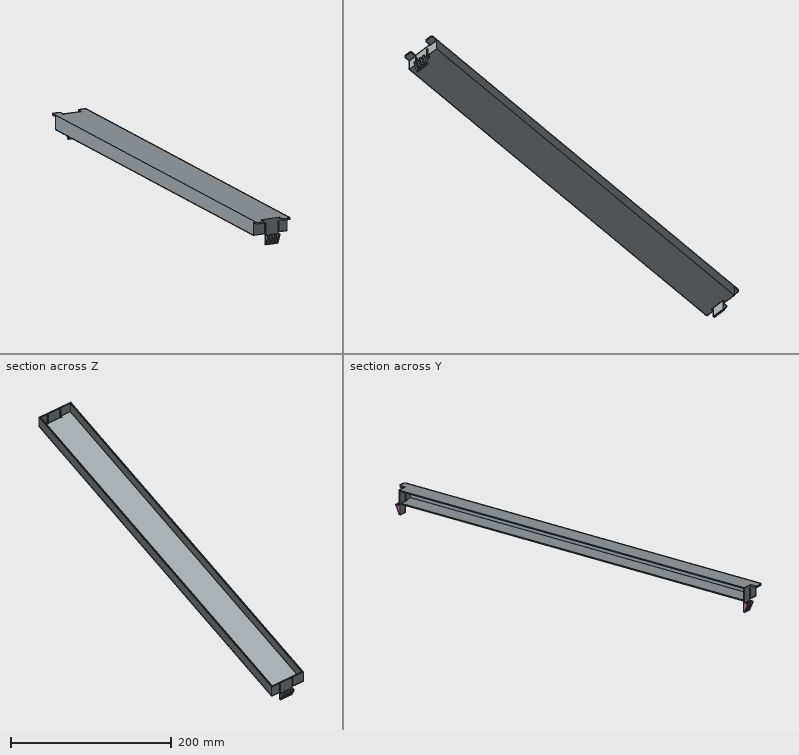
import cadquery as cq

length = 556.5
width = 47.5
height = 33.5
wall = 2.0

tongue_length = 9.0
tongue_corner = 2.0
notch_width = 25.0
body_height = 19.0
body_end = length / 2 - tongue_length

tab_width = 17.0
tab_center_y = 2.0
tab_low = tab_center_y - tab_width / 2
tab_high = tab_center_y + tab_width / 2
slit_width = 1.5
slit_top = -5.0

tooth_count = 4
tooth_width = 2.0
tooth_reach = 5.0
tooth_top = -20.5
tooth_bottom = -33.0
tooth_tip_height = 1.0
tooth_pitch = (tab_width - tooth_width) / (tooth_count - 1)


def make_block(x_range, y_range, z_range):
    """Box filling the given ranges."""
    size = [high - low for low, high in (x_range, y_range, z_range)]
    corner = (x_range[0], y_range[0], z_range[0])
    return cq.Workplane("XY").box(*size, centered=False).translate(corner)


def make_top_plate():
    """Plate with a notch in each end, leaving two round-cornered tongues."""
    plate = cq.Workplane("XY").box(length, width, wall, centered=(True, True, False))
    plate = plate.translate((0, 0, -wall))
    for low, high in ((-length / 2, -body_end), (body_end, length / 2)):
        notch = make_block((low, high), (-notch_width / 2, notch_width / 2), (-wall, 0))
        plate = plate.cut(notch)
    return plate.edges("|Z and (<X or >X)").fillet(tongue_corner)


def make_body():
    """Closed hollow beam under the plate."""
    shell = cq.Workplane("XY").box(2 * body_end, width, body_height, centered=(True, True, False))
    cavity = cq.Workplane("XY").box(
        2 * (body_end - wall), width - 2 * wall, body_height - 2 * wall, centered=(True, True, False)
    )
    return shell.translate((0, 0, -body_height)).cut(cavity.translate((0, 0, wall - body_height)))


def make_tab_clearance():
    """Slits in the +X end wall beside the tab, joined by a gap through the floor behind it."""
    x_range = (body_end - wall, body_end)
    z_range = (-body_height, slit_top)
    low_slit = make_block(x_range, (tab_low - slit_width, tab_low), z_range)
    high_slit = make_block(x_range, (tab_high, tab_high + slit_width), z_range)
    floor_gap = make_block(
        (body_end - wall - slit_width, body_end - wall),
        (tab_low - slit_width, tab_high + slit_width),
        (-body_height, wall - body_height),
    )
    return low_slit.union(high_slit).union(floor_gap)


def make_tab():
    """Lower part of the +X tab with its row of barbed teeth."""
    tab = make_block((body_end - wall, body_end), (tab_low, tab_high), (-height, -body_height))
    tip_x = body_end + tooth_reach
    root_x = body_end - wall / 2
    tooth = (
        cq.Workplane("XZ")
        .polyline([
            (root_x, tooth_top),
            (tip_x, tooth_top),
            (tip_x, tooth_top - tooth_tip_height),
            (body_end, tooth_bottom),
            (root_x, tooth_bottom),
        ])
        .close()
        .extrude(-tooth_width)
    )
    for index in range(tooth_count):
        tab = tab.union(tooth.translate((0, tab_low + index * tooth_pitch, 0)))
    return tab


tab_clearance = make_tab_clearance()
tab = make_tab()
result = make_top_plate().union(make_body())
result = result.cut(tab_clearance).cut(tab_clearance.mirror("YZ"))
result = result.union(tab).union(tab.mirror("YZ"))